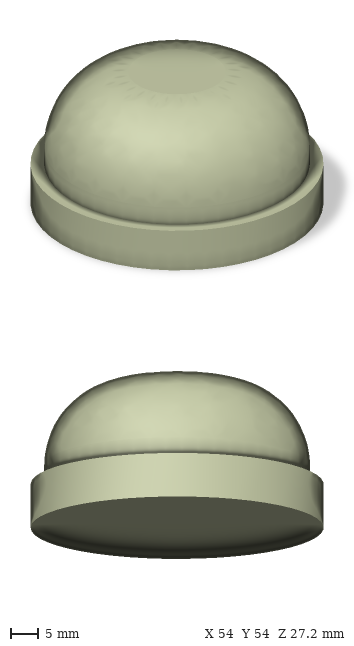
import cadquery as cq

base_diameter = 54.0
base_height = 8.2
dome_diameter = 49.0
total_height = 27.2
dome_round = 15.5

base = cq.Workplane("XY").circle(base_diameter / 2).extrude(base_height)

dome = (
    cq.Workplane("XY")
    .circle(dome_diameter / 2)
    .extrude(total_height)
    .faces(">Z")
    .edges()
    .fillet(dome_round)
)

result = base.union(dome)